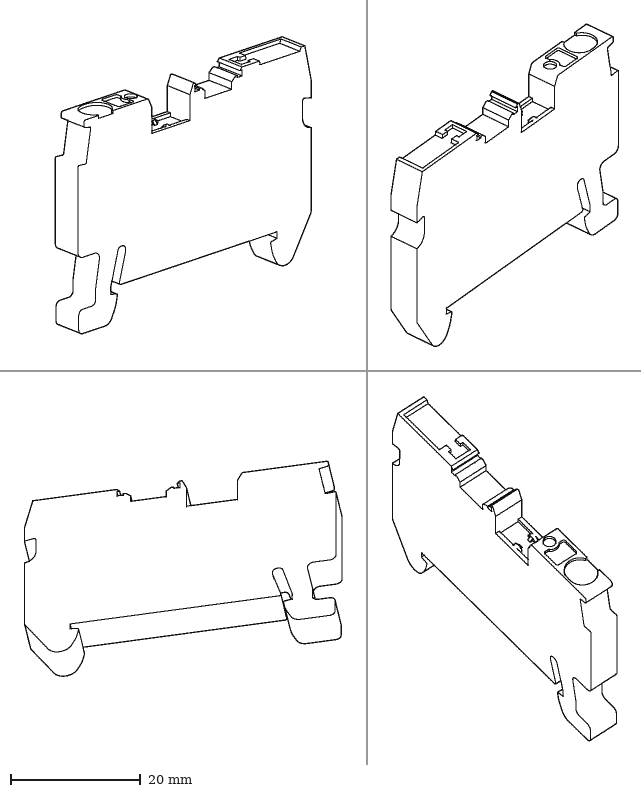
import cadquery as cq
import math

THICKNESS = 5.15
LENGTH = 48.8
HEIGHT = 35.25
MID_X = THICKNESS / 2

BASE_Z = 6.0
CLAW_TIP_Z = 4.65
CLAW_ROOT_Z = 4.95
SHOULDER_Z = 27.9
WELL_Z = 29.3
WELL_Y = (15.45, 23.4)
BRIDGE_Z = 32.1
CHANNEL_MID_Y = 29.4

CHANNEL_SIDE = [
    (2.8, BRIDGE_Z, 0),
    (2.8, 33.4, 0),
    (3.55, 34.05, 0.3),
    (3.95, 34.05, 0),
    (3.95, 33.75, 0),
    (4.95, 33.75, 0),
    (4.95, 34.75, 0),
    (4.5, 34.75, 0),
    (4.95, HEIGHT, 0),
]

LABEL_DEPTH = 0.65
LABEL_SIDE_X = 0.6
LABEL_TOP_Y = (37.95, 46.7)
LABEL_FLOOR_Y = (38.1, 46.4)
LABEL_MID_X = (LABEL_SIDE_X + THICKNESS) / 2
KEY_NECK_WIDTH = 1.8
KEY_HEAD_WIDTH = 2.85
KEY_HEAD_Y = (35.0, 36.8)

TROUGH_WIDTH = 3.7
TROUGH_DEPTH = 0.65
BUMP_MID_Y = sum(WELL_Y) / 2
BUMP_CAP_WIDTH = 0.65
BUMP_BASE_WIDTH = 1.75
BUMP_DEPTH_X = 0.6
FLANK_BULGE = 0.1
WEDGE_DEPTH_X = 0.5

RECESS_DEPTH = 0.5
TEST_HOLE_DIAMETER = 2.0
TEST_HOLE_Y = 13.4
POCKET_WIDTH = 4.05
POCKET_Y = (9.05, 12.35)
POCKET_CORNER = 0.35
LAND_RADIUS = 1.55
LAND_WIDTH = 1.95
ENTRY_X = 2.75
ENTRY_Y = 5.85
ENTRY_WIDTH = 4.8
ENTRY_LENGTH = 5.4
ENTRY_MOUTH_X = 4.8
ENTRY_MOUTH_WIDTH = 3.05


def rounded_outline(corners):
    """Closed YZ wire through (y, z, radius) corners; radius 0 keeps a corner sharp."""
    stops = []
    for i, (y, z, radius) in enumerate(corners):
        corner = cq.Vector(y, z)
        if radius == 0:
            stops.append((corner, None, corner))
            continue
        previous_y, previous_z, _ = corners[i - 1]
        next_y, next_z, _ = corners[(i + 1) % len(corners)]
        back = (cq.Vector(previous_y, previous_z) - corner).normalized()
        ahead = (cq.Vector(next_y, next_z) - corner).normalized()
        half_angle = back.getAngle(ahead) / 2
        tangent_length = radius / math.tan(half_angle)
        apex_distance = radius / math.sin(half_angle) - radius
        apex = corner + (back + ahead).normalized() * apex_distance
        stops.append((corner + back * tangent_length, apex, corner + ahead * tangent_length))

    wire = cq.Workplane("YZ").moveTo(*stops[0][2].toTuple()[:2])
    for start, apex, end in stops[1:] + stops[:1]:
        wire = wire.lineTo(*start.toTuple()[:2])
        if apex is not None:
            wire = wire.threePointArc(apex.toTuple()[:2], end.toTuple()[:2])
    return wire.close()


def make_body():
    fixed_foot = [
        (41.65, BASE_Z, 0),
        (41.65, CLAW_ROOT_Z, 0),
        (40.25, CLAW_TIP_Z, 0.2),
        (40.7, 2.55, 5.85),
        (42.0, 0, 2.05),
        (44.5, 0, 2.05),
        (LENGTH, 7.3, 1),
    ]
    back_end = [
        (LENGTH, 21.35, 0),
        (47.0, 21.6, 2.1),
        (47.0, 26.65, 0.35),
        (LENGTH, 26.25, 0),
        (LENGTH, 29.25, 0),
        (47.5, HEIGHT, 0),
    ]
    channel_back = [(CHANNEL_MID_Y + dy, z, r) for dy, z, r in reversed(CHANNEL_SIDE)]
    channel_front = [(CHANNEL_MID_Y - dy, z, r) for dy, z, r in CHANNEL_SIDE]
    well = [
        (24.1, HEIGHT, 0.2),
        (WELL_Y[1], 33.55, 0),
        (WELL_Y[1], WELL_Z, 0),
        (WELL_Y[0], WELL_Z, 0),
        (WELL_Y[0], 33.55, 0),
        (14.75, HEIGHT, 0.45),
    ]
    front_end = [
        (1.2, HEIGHT, 0.4),
        (1.2, 34.05, 0.4),
        (2.7, 33.7, 0.15),
        (1.7, SHOULDER_Z, 0.2),
        (0, 28.05, 0.25),
        (0, 12.65, 1.02),
    ]
    spring_clip = [
        (4.7, 12.65, 1.02),
        (3.7, 6.85, 0),
        (3.7, 4.05, 0.9),
        (0.15, 4.05, 0.9),
        (0.15, 0, 0.9),
        (6.65, 0, 1.7),
        (7.95, 2.8, 5.85),
        (8.3, CLAW_TIP_Z, 0.2),
        (6.9, CLAW_ROOT_Z, 0),
        (6.9, 6.15, 0),
        (8.5, 12.35, 0.75),
        (9.95, 12.35, 0.75),
        (9.95, 11.15, 0),
        (8.55, BASE_Z, 0.35),
    ]
    outline = fixed_foot + back_end + channel_back + channel_front
    outline += well + front_end + spring_clip
    return rounded_outline(outline).extrude(THICKNESS)


def box_between(x_range, y_range, top_z, depth):
    size_x = x_range[1] - x_range[0]
    size_y = y_range[1] - y_range[0]
    corner = (x_range[0], y_range[0], top_z - depth)
    return cq.Workplane("XY").box(size_x, size_y, depth, centered=False).translate(corner)


def centred_range(middle, size):
    return (middle - size / 2, middle + size / 2)


def label_recess():
    floor_z = HEIGHT - LABEL_DEPTH
    tray = (
        cq.Workplane("YZ", origin=(LABEL_SIDE_X, 0, 0))
        .polyline([
            (LABEL_TOP_Y[0], HEIGHT),
            (LABEL_FLOOR_Y[0], floor_z),
            (LABEL_FLOOR_Y[1], floor_z),
            (LABEL_TOP_Y[1], HEIGHT),
        ])
        .close()
        .extrude(THICKNESS - LABEL_SIDE_X)
    )
    neck_x = centred_range(LABEL_MID_X, KEY_NECK_WIDTH)
    head_x = centred_range(LABEL_MID_X, KEY_HEAD_WIDTH)
    neck = box_between(neck_x, (KEY_HEAD_Y[1], LABEL_FLOOR_Y[0]), HEIGHT, LABEL_DEPTH)
    head = box_between(head_x, KEY_HEAD_Y, HEIGHT, LABEL_DEPTH)
    return tray.union(neck).union(head)


def well_trough():
    """Trough between the side walls, less the bump and wedge on each wall."""
    side_x = (THICKNESS - TROUGH_WIDTH) / 2
    floor_z = WELL_Z - TROUGH_DEPTH
    trough = box_between((side_x, THICKNESS - side_x), WELL_Y, WELL_Z, TROUGH_DEPTH)

    half_cap = BUMP_CAP_WIDTH / 2
    half_base = BUMP_BASE_WIDTH / 2
    flank = ((half_cap + half_base) / 2 + FLANK_BULGE, floor_z + TROUGH_DEPTH / 2 + FLANK_BULGE)
    bump = (
        cq.Workplane("YZ", origin=(side_x, BUMP_MID_Y, 0))
        .moveTo(-half_base, floor_z)
        .threePointArc((-flank[0], flank[1]), (-half_cap, WELL_Z))
        .lineTo(half_cap, WELL_Z)
        .threePointArc(flank, (half_base, floor_z))
        .close()
        .extrude(BUMP_DEPTH_X)
    )
    wedge_x = side_x + BUMP_DEPTH_X
    wedge = (
        cq.Workplane("XZ", origin=(0, BUMP_MID_Y + half_cap, 0))
        .polyline([
            (wedge_x, floor_z),
            (wedge_x, WELL_Z),
            (wedge_x + WEDGE_DEPTH_X, floor_z),
        ])
        .close()
        .extrude(BUMP_CAP_WIDTH)
    )
    stop = bump.union(wedge)
    opposite_stop = stop.mirror("YZ", (MID_X, 0, 0))
    return trough.cut(stop).cut(opposite_stop)


def test_hole():
    return (
        cq.Workplane("XY", origin=(MID_X, TEST_HOLE_Y, HEIGHT))
        .circle(TEST_HOLE_DIAMETER / 2)
        .extrude(-RECESS_DEPTH)
    )


def actuator_pocket():
    """Round-cornered pocket that leaves a curved land around the test hole."""
    pocket = box_between(centred_range(MID_X, POCKET_WIDTH), POCKET_Y, HEIGHT, RECESS_DEPTH)
    pocket = pocket.edges("|Z").fillet(POCKET_CORNER)
    land = (
        cq.Workplane("XY", origin=(MID_X, TEST_HOLE_Y, HEIGHT))
        .circle(LAND_RADIUS)
        .extrude(-RECESS_DEPTH)
    )
    land_limit = box_between(
        centred_range(MID_X, LAND_WIDTH), (POCKET_Y[0], TEST_HOLE_Y), HEIGHT, RECESS_DEPTH
    )
    return pocket.cut(land.intersect(land_limit))


def wire_entry():
    """Oblong recess whose flank breaks out through the +X face."""
    oblong = (
        cq.Workplane("XY", origin=(ENTRY_X, ENTRY_Y, HEIGHT))
        .slot2D(ENTRY_LENGTH, ENTRY_WIDTH, 90)
        .extrude(-RECESS_DEPTH)
    )
    mouth_y = centred_range(ENTRY_Y, ENTRY_MOUTH_WIDTH)
    mouth = box_between((ENTRY_MOUTH_X, THICKNESS), mouth_y, HEIGHT, RECESS_DEPTH)
    return oblong.union(mouth)


result = (
    make_body()
    .cut(label_recess())
    .cut(well_trough())
    .cut(test_hole())
    .cut(actuator_pocket())
    .cut(wire_entry())
)